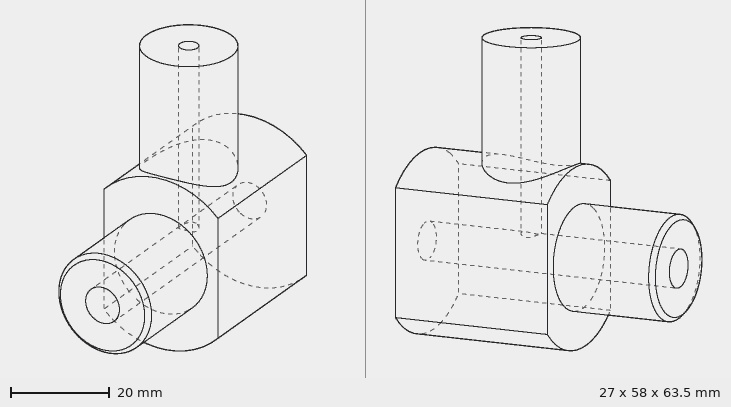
import cadquery as cq

body_diameter = 38.1
body_width = 27.0
body_length = 35.0

total_length = 58.0
spigot_diameter = 22.0
spigot_length = total_length - body_length
spigot_chamfer = 1.0
main_bore_diameter = 8.0

total_height = 63.5
post_diameter = 20.0
post_setback = 11.0
post_bore_diameter = 4.1
post_top = total_height - body_diameter / 2


def rod_along_y(diameter, start, length):
    """Cylinder on the body axis, running toward +Y from start."""
    return cq.Workplane("XZ", origin=(0, start, 0)).circle(diameter / 2).extrude(-length)


def rod_along_z(diameter):
    """Cylinder on the post axis, from the body axis to the post top."""
    return cq.Workplane("XY", origin=(0, post_setback, 0)).circle(diameter / 2).extrude(post_top)


def make_body():
    flats = cq.Workplane("XY").box(
        body_width, body_length, body_diameter, centered=(True, False, True)
    )
    return rod_along_y(body_diameter, 0, body_length).intersect(flats)


def make_spigot():
    spigot = rod_along_y(spigot_diameter, -spigot_length, spigot_length)
    return spigot.faces("<Y").chamfer(spigot_chamfer)


solid = make_body().union(make_spigot()).union(rod_along_z(post_diameter))

main_bore = rod_along_y(main_bore_diameter, -spigot_length, total_length)
result = solid.cut(main_bore).cut(rod_along_z(post_bore_diameter))